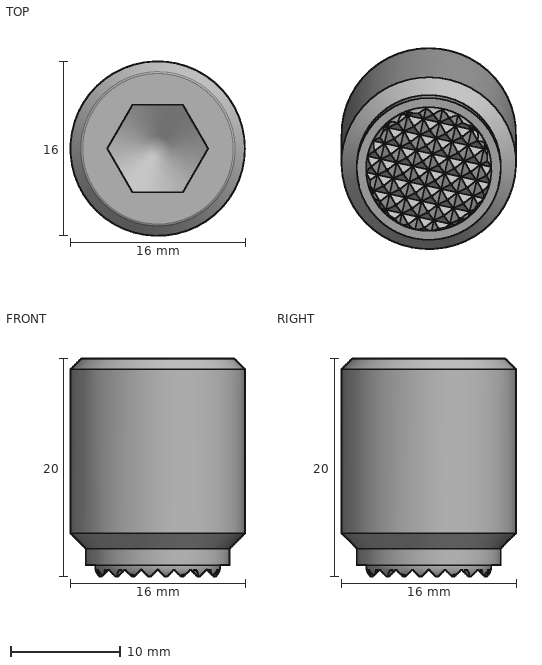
import cadquery as cq
import math

total_height = 20.0

screw_diameter = 16.0
top_chamfer = 1.0
top_blend_radius = 0.25
point_diameter = 13.2
lower_chamfer = (screw_diameter - point_diameter) / 2
lower_chamfer_top = 3.98

socket_across_flats = 8.0
socket_across_corners = socket_across_flats / math.cos(math.radians(30))
socket_depth = 8.0
drill_point_angle = 118.0
drill_point_depth = socket_across_corners / 2 / math.tan(math.radians(drill_point_angle / 2))

insert_diameter = 11.5
insert_height = 4.0
insert_protrusion = 1.06
insert_edge_radius = 1.6

tooth_pitch = 1.5
tooth_tip_width = 0.2
groove_width = tooth_pitch - tooth_tip_width
groove_depth = groove_width / 2
groove_count = 9

screw_radius = screw_diameter / 2
point_radius = point_diameter / 2
insert_radius = insert_diameter / 2


def edge_radius_at(height):
    """Radius of the insert's rounded side at a height within its protruding part."""
    drop = insert_protrusion - height
    return insert_radius - insert_edge_radius + math.sqrt(insert_edge_radius**2 - drop**2)


def make_blank():
    """Turned screw body with both end chamfers and the softened top edge."""
    profile = (
        cq.Workplane("XZ")
        .moveTo(0, insert_protrusion)
        .lineTo(point_radius, insert_protrusion)
        .lineTo(point_radius, lower_chamfer_top - lower_chamfer)
        .lineTo(screw_radius, lower_chamfer_top)
        .lineTo(screw_radius, total_height - top_chamfer)
        .lineTo(screw_radius - top_chamfer, total_height)
        .lineTo(0, total_height)
        .close()
    )
    blank = profile.revolve(360, (0, 0, 0), (0, 1, 0))
    return blank.faces(">Z").edges().fillet(top_blend_radius)


def make_socket():
    """Hexagonal prism whose lower end is trimmed to a cone."""
    cone_radius = socket_across_corners / 2
    cone_tip = total_height - socket_depth - drill_point_depth
    prism = (
        cq.Workplane("XY", origin=(0, 0, cone_tip))
        .polygon(6, socket_across_corners)
        .extrude(total_height - cone_tip)
    )
    drilled = (
        cq.Workplane("XZ")
        .moveTo(0, cone_tip)
        .lineTo(cone_radius, total_height - socket_depth)
        .lineTo(cone_radius, total_height)
        .lineTo(0, total_height)
        .close()
        .revolve(360, (0, 0, 0), (0, 1, 0))
    )
    return prism.intersect(drilled)


def make_recess():
    """Flat-bottomed bore that holds the insert."""
    return (
        cq.Workplane("XY", origin=(0, 0, insert_protrusion))
        .circle(insert_radius)
        .extrude(insert_height - insert_protrusion)
    )


def make_screw():
    return make_blank().cut(make_socket()).cut(make_recess())


def make_groove(offset):
    """V groove running along Y at the given X offset, open at the bottom."""
    return (
        cq.Workplane("XZ", origin=(offset, 0, 0))
        .moveTo(-groove_width / 2, 0)
        .lineTo(groove_width / 2, 0)
        .lineTo(0, groove_depth)
        .close()
        .extrude(insert_radius, both=True)
    )


def make_insert():
    """Cylinder with a rounded lower side and a grid of pyramid teeth underneath."""
    mid_height = insert_protrusion / 2
    body = (
        cq.Workplane("XZ")
        .lineTo(edge_radius_at(0), 0)
        .threePointArc((edge_radius_at(mid_height), mid_height), (insert_radius, insert_protrusion))
        .lineTo(insert_radius, insert_height)
        .lineTo(0, insert_height)
        .close()
        .revolve(360, (0, 0, 0), (0, 1, 0))
    )
    for index in range(groove_count):
        groove = make_groove((index - (groove_count - 1) / 2) * tooth_pitch)
        crossing_groove = groove.rotate((0, 0, 0), (0, 0, 1), 90)
        body = body.cut(groove).cut(crossing_groove)
    return body


screw = make_screw()
insert = make_insert()

result = cq.Compound.makeCompound([screw.solids().val(), insert.solids().val()])